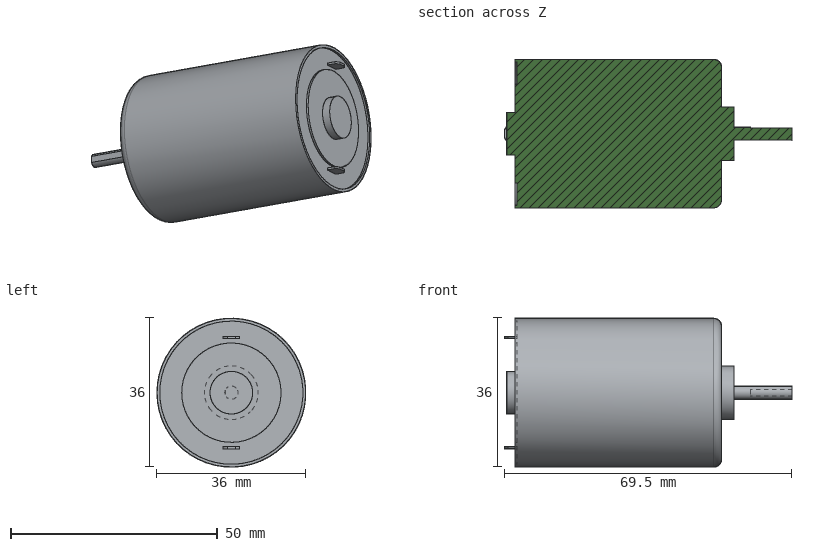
import cadquery as cq

can_length = 50.0
can_diameter = 36.0
can_front_radius = 2.0

rim_thickness = 0.7
cap_recess = 0.5
disc_diameter = 24.0
disc_height = 0.5

front_boss_diameter = 13.0
front_boss_length = 3.0
rear_boss_diameter = 10.3
rear_boss_length = 2.0

shaft_diameter = 3.2
shaft_length = 14.0
flat_length = 10.0
flat_depth = 0.2

terminal_length = 2.5
terminal_width = 4.0
terminal_thickness = 0.5
terminal_offset = 13.3
terminal_tip_radius = 2.5
terminal_tip_arc_reach = 2.3


def cylinder(diameter, x_start, x_end):
    """Solid cylinder on the X axis between two stations."""
    return cq.Workplane("YZ").workplane(offset=x_start).circle(diameter / 2).extrude(x_end - x_start)


def make_can():
    """Can with a rounded front edge and a shallow recess for the rear cap."""
    can = cylinder(can_diameter, 0, can_length).faces(">X").edges().fillet(can_front_radius)
    recess = cylinder(can_diameter - 2 * rim_thickness, 0, cap_recess)
    return can.cut(recess)


def make_shaft():
    """Output shaft, flattened from its tip on the +Y side."""
    shaft_start = can_length + front_boss_length
    shaft_end = shaft_start + shaft_length
    shaft = cylinder(shaft_diameter, shaft_start, shaft_end)
    flat_cut = (
        cq.Workplane("XY")
        .box(flat_length, shaft_diameter, shaft_diameter, centered=(False, False, True))
        .translate((shaft_end - flat_length, shaft_diameter / 2 - flat_depth, 0))
    )
    return shaft.cut(flat_cut)


def make_terminal(z_center):
    """Flat solder tab standing on the cap, its tip corners trimmed by a large arc."""
    tab = (
        cq.Workplane("XY")
        .box(terminal_length + cap_recess, terminal_width, terminal_thickness, centered=(False, True, True))
        .translate((-terminal_length, 0, z_center))
    )
    arc_center_x = terminal_tip_arc_reach - terminal_length
    trim_disc = (
        cq.Workplane("XY", origin=(arc_center_x, 0, z_center))
        .circle(terminal_tip_radius)
        .extrude(terminal_thickness, both=True)
    )
    return tab.intersect(trim_disc)


raised_disc = cylinder(disc_diameter, cap_recess - disc_height, cap_recess)
rear_boss = cylinder(rear_boss_diameter, -rear_boss_length, cap_recess)
front_boss = cylinder(front_boss_diameter, can_length, can_length + front_boss_length)

result = make_can().union(raised_disc).union(rear_boss).union(front_boss).union(make_shaft())
for side in (-1, 1):
    result = result.union(make_terminal(side * terminal_offset))